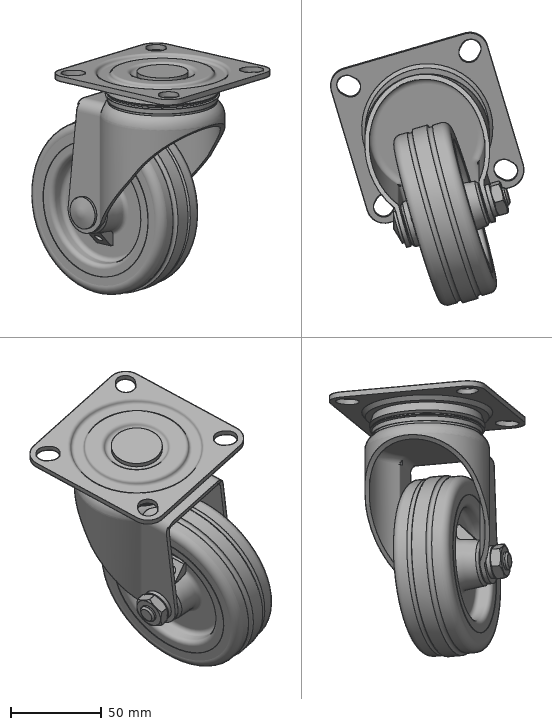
import cadquery as cq
import math


TOTAL_HEIGHT = 132.0
TYRE_RADIUS = 50.0
AXLE_OFFSET = 35.0
AXLE_X = -AXLE_OFFSET
AXLE_Z = TYRE_RADIUS

PLATE_SIDE = 90.0
PLATE_THICKNESS = 3.0
PLATE_CORNER_RADIUS = 10.0
BOLT_SPACING = 70.0
BOLT_SLOT_WIDTH = 11.1
BOLT_SLOT_LENGTH = 13.3
PRESS_DEPTH = 2.5
GROOVE_OUTER_RIM = 38.3
GROOVE_OUTER_FLOOR = 34.5
GROOVE_INNER_FLOOR = 30.8
GROOVE_INNER_RIM = 27.2
RECESS_RIM = 19.9
RECESS_FLOOR = 15.6
RIVET_RADIUS = 14.1
GROOVE_OUTER_MIDDLE = (GROOVE_OUTER_RIM + GROOVE_OUTER_FLOOR) / 2
GROOVE_INNER_MIDDLE = (GROOVE_INNER_RIM + GROOVE_INNER_FLOOR) / 2
RECESS_MIDDLE = (RECESS_RIM + RECESS_FLOOR) / 2
DISH_TOP_RADIUS = 36.3
DISH_BOTTOM_RADIUS = 34.3
RACE_TOP_RADIUS = 30.4
RACE_BOTTOM_RADIUS = 32.1
RACE_HEIGHT = 5.0
RACE_LIP_HEIGHT = 1.2
DISH_BOTTOM_Z = TOTAL_HEIGHT - PLATE_THICKNESS - PRESS_DEPTH
RACE_BOTTOM_Z = DISH_BOTTOM_Z - RACE_HEIGHT
SWIVEL_Z = RACE_BOTTOM_Z - RACE_LIP_HEIGHT

FORK_TOP_Z = 113.5
SHEET = 2.5
HEAD_RADIUS = 34.6
LEG_OUTER_Y = 25.6
LEG_INNER_Y = LEG_OUTER_Y - SHEET
FORK_EDGE_RADIUS = 6.5
LEG_END_RADIUS = 11.9
LEG_LEAN = math.radians(6.2)
CREASE_RADIUS = 2.0
TOP_FRONT_X = -41.0
CUT_SLOPE = math.radians(48.3)
CUT_BEND_X = 5.7
CUT_CURVE_X = 18.5
CUT_CURVE_Z = 93.0
CUT_END_Z = 106.9
NECK_RADIUS = 30.6
SEAL_RADIUS = 31.7
SEAL_TOP_DROP = 0.8
SEAL_TIP_DROP = 1.3
SEAL_BOTTOM_DROP = 1.8
NECK_BOTTOM_Z = 115.8
COLLAR_RADIUS = 30.2
SHOULDER_TOP_Z = 114.6
SHOULDER_ARC_RADIUS = 9.1

TYRE_HALF_WIDTH = 16.2
TYRE_BORE = 38.4
TYRE_STEP = 0.3
TREAD_BAND_HALF = 4.2
GROOVE_END = 7.3
SHOULDER_START = 12.3
GROOVE_RADIUS = 48.3
RIB_RADIUS = 49.1
TYRE_SIDE_RADIUS = 43.5
RIM_INNER_RADIUS = 31.5
WEB_HALF_WIDTH = 7.3
RIM_FILLET = 2.6
HUB_RADIUS = 12.8
HUB_ROOT_RADIUS = 14.1
HUB_HALF_LENGTH = 22.3
HUB_CHAMFER = 1.5
HUB_FILLET = 2.6
SLEEVE_RADIUS = 6.0
BOSS_WIDTH = 10.4
BOSS_REACH = 21.6
BOSS_EDGE_Y = 9.1
BOSS_TOP_RADIUS = 12.5
BOSS_HOLE_DIAMETER = 5.0
BOSS_HOLE_DEPTH = 3.3

AXLE_RADIUS = 5.0
FLANGE_RADIUS = 9.1
HEAD_FLANGE_THICKNESS = 1.6
HEAD_CONE_HEIGHT = 2.5
WASHER_THICKNESS = 2.4
NUT_THICKNESS = 6.2
NUT_ACROSS_FLATS = 17.0
NUT_CHAMFER = 0.8
AXLE_END_Y = 36.4
AXLE_END_CHAMFER = 1.2


def revolve_about_z(points):
    """Turn a (radius, z) outline about the swivel axis."""
    return cq.Workplane("XZ").polyline(points).close().revolve(360, (0, 0), (0, 1))


def axle_plane(y):
    """Workplane across the axle at the given Y, facing +Y."""
    return cq.Workplane(cq.Plane((AXLE_X, y, AXLE_Z), xDir=(1, 0, 0), normal=(0, 1, 0)))


def axle_section():
    """Workplane holding a wheel section: local x is the radius, local y runs along +Y."""
    return cq.Workplane(cq.Plane((AXLE_X, 0, AXLE_Z), xDir=(0, 0, 1), normal=(-1, 0, 0)))


def revolve_about_axle(outline):
    return outline.close().revolve(360, (0, 0), (0, 1))


def make_plate():
    top = TOTAL_HEIGHT
    floor = top - PRESS_DEPTH
    mid = top - PRESS_DEPTH / 2
    plate = (
        cq.Workplane("XY", origin=(0, 0, top - PLATE_THICKNESS))
        .rect(PLATE_SIDE, PLATE_SIDE)
        .extrude(PLATE_THICKNESS)
        .edges("|Z")
        .fillet(PLATE_CORNER_RADIUS)
    )
    half = BOLT_SPACING / 2
    for x_side in (-1, 1):
        for y_side in (-1, 1):
            slot = (
                cq.Workplane("XY", origin=(x_side * half, y_side * half, top - PLATE_THICKNESS))
                .transformed(rotate=(0, 0, 45 * x_side * y_side))
                .slot2D(BOLT_SLOT_LENGTH, BOLT_SLOT_WIDTH)
                .extrude(PLATE_THICKNESS)
            )
            plate = plate.cut(slot)
    opening = cq.Workplane("XY", origin=(0, 0, top)).circle(GROOVE_OUTER_RIM).extrude(-PLATE_THICKNESS)
    pressing = (
        cq.Workplane("XZ")
        .moveTo(0, top)
        .lineTo(RIVET_RADIUS, top)
        .lineTo(RIVET_RADIUS, floor)
        .lineTo(RECESS_FLOOR, floor)
        .tangentArcPoint((RECESS_MIDDLE, mid), relative=False)
        .tangentArcPoint((RECESS_RIM, top), relative=False)
        .lineTo(GROOVE_INNER_RIM, top)
        .tangentArcPoint((GROOVE_INNER_MIDDLE, mid), relative=False)
        .tangentArcPoint((GROOVE_INNER_FLOOR, floor), relative=False)
        .lineTo(GROOVE_OUTER_FLOOR, floor)
        .tangentArcPoint((GROOVE_OUTER_MIDDLE, mid), relative=False)
        .tangentArcPoint((GROOVE_OUTER_RIM, top), relative=False)
        .lineTo(GROOVE_OUTER_RIM, top - PLATE_THICKNESS)
        .lineTo(DISH_TOP_RADIUS, top - PLATE_THICKNESS)
        .lineTo(DISH_BOTTOM_RADIUS, DISH_BOTTOM_Z)
        .lineTo(RACE_TOP_RADIUS, DISH_BOTTOM_Z)
        .lineTo(RACE_BOTTOM_RADIUS, RACE_BOTTOM_Z)
        .lineTo(RACE_TOP_RADIUS, SWIVEL_Z)
        .lineTo(0, SWIVEL_Z)
        .close()
        .revolve(360, (0, 0), (0, 1))
    )
    return plate.cut(opening).union(pressing)


def fork_block(inset, bottom_z):
    """Round head with a straight leg block, all outer faces moved inwards by the inset."""
    top_z = FORK_TOP_Z - inset
    front_x = TOP_FRONT_X - 2 * LEG_END_RADIUS
    head = cq.Workplane("XY", origin=(0, 0, bottom_z)).circle(HEAD_RADIUS - inset).extrude(top_z - bottom_z)
    legs = (
        cq.Workplane("XY", origin=(front_x / 2, 0, bottom_z))
        .rect(-front_x, 2 * (LEG_OUTER_Y - inset))
        .extrude(top_z - bottom_z)
    )
    block = head.union(legs)
    crease_x = -math.sqrt((HEAD_RADIUS - inset) ** 2 - (LEG_OUTER_Y - inset) ** 2)
    block = block.edges(cq.selectors.BoxSelector(
        (crease_x - 1.3, -HEAD_RADIUS, bottom_z), (crease_x + 1.3, HEAD_RADIUS, top_z)
    )).edges("|Z").fillet(CREASE_RADIUS)
    return block.faces(">Z").edges("not(<X)").fillet(FORK_EDGE_RADIUS - inset)


def fork_side_outline():
    """Side outline of the fork, extruded across its whole width."""
    lean_x = LEG_END_RADIUS * math.cos(LEG_LEAN)
    lean_z = LEG_END_RADIUS * math.sin(LEG_LEAN)
    front_low = (AXLE_X - lean_x, AXLE_Z + lean_z)
    step_z = FORK_TOP_Z - SHEET
    front_high_x = front_low[0] + (step_z - front_low[1]) * math.tan(LEG_LEAN)
    rear_low = (
        AXLE_X + LEG_END_RADIUS * math.sin(CUT_SLOPE),
        AXLE_Z - LEG_END_RADIUS * math.cos(CUT_SLOPE),
    )
    bend = (CUT_BEND_X, rear_low[1] + (CUT_BEND_X - rear_low[0]) * math.tan(CUT_SLOPE))
    return (
        cq.Workplane("XZ", origin=(0, HEAD_RADIUS, 0))
        .moveTo(*rear_low)
        .lineTo(*bend)
        .threePointArc((CUT_CURVE_X, CUT_CURVE_Z), (HEAD_RADIUS, CUT_END_Z))
        .lineTo(HEAD_RADIUS, FORK_TOP_Z)
        .lineTo(TOP_FRONT_X, FORK_TOP_Z)
        .lineTo(TOP_FRONT_X, step_z)
        .lineTo(front_high_x, step_z)
        .lineTo(*front_low)
        .threePointArc((AXLE_X, AXLE_Z - LEG_END_RADIUS), rear_low)
        .close()
        .extrude(2 * HEAD_RADIUS)
    )


def fork_shoulder():
    """Rounded ring that raises the head's edge up to the neck."""
    inner_radius = HEAD_RADIUS - SHEET
    edge_z = FORK_TOP_Z - FORK_EDGE_RADIUS
    sheet_bottom_z = FORK_TOP_Z - SHEET
    ring = (
        cq.Workplane("XZ")
        .moveTo(COLLAR_RADIUS, SHOULDER_TOP_Z)
        .radiusArc((HEAD_RADIUS, edge_z), SHOULDER_ARC_RADIUS)
        .lineTo(inner_radius, edge_z)
        .lineTo(inner_radius, sheet_bottom_z)
        .lineTo(COLLAR_RADIUS, sheet_bottom_z)
        .close()
        .revolve(360, (0, 0), (0, 1))
    )
    crease_x = -math.sqrt(HEAD_RADIUS**2 - LEG_OUTER_Y**2)
    leg_space = cq.Workplane("XY", origin=(crease_x - HEAD_RADIUS, 0, 0)).rect(
        2 * HEAD_RADIUS, 2 * HEAD_RADIUS
    ).extrude(sheet_bottom_z)
    return ring.cut(leg_space)


def make_fork():
    bottom_z = AXLE_Z - 2 * LEG_END_RADIUS
    shell = fork_block(0, bottom_z).cut(fork_block(SHEET, bottom_z)).intersect(fork_side_outline())
    neck = revolve_about_z([
        (0, SWIVEL_Z),
        (NECK_RADIUS, SWIVEL_Z),
        (NECK_RADIUS, SWIVEL_Z - SEAL_TOP_DROP),
        (SEAL_RADIUS, SWIVEL_Z - SEAL_TIP_DROP),
        (NECK_RADIUS, SWIVEL_Z - SEAL_BOTTOM_DROP),
        (NECK_RADIUS, NECK_BOTTOM_Z),
        (COLLAR_RADIUS, NECK_BOTTOM_Z),
        (COLLAR_RADIUS, FORK_TOP_Z - SHEET),
        (0, FORK_TOP_Z - SHEET),
    ])
    bore = axle_plane(-HEAD_RADIUS).circle(AXLE_RADIUS).extrude(2 * HEAD_RADIUS)
    return shell.union(fork_shoulder()).union(neck).cut(bore)


def make_tyre():
    groove_y = (TREAD_BAND_HALF + GROOVE_END) / 2
    outline = axle_section().moveTo(TYRE_BORE, -TYRE_HALF_WIDTH).lineTo(TYRE_SIDE_RADIUS, -TYRE_HALF_WIDTH)
    corner_radius = TYRE_SIDE_RADIUS + 0.75 * (RIB_RADIUS - TYRE_SIDE_RADIUS)
    corner_y = SHOULDER_START + 0.7 * (TYRE_HALF_WIDTH - SHOULDER_START)
    outline = (
        outline.threePointArc((corner_radius, -corner_y), (RIB_RADIUS, -SHOULDER_START))
        .lineTo(RIB_RADIUS, -GROOVE_END)
        .threePointArc((GROOVE_RADIUS, -groove_y), (TYRE_RADIUS, -TREAD_BAND_HALF))
        .lineTo(TYRE_RADIUS, TREAD_BAND_HALF)
        .threePointArc((GROOVE_RADIUS, groove_y), (RIB_RADIUS, GROOVE_END))
        .lineTo(RIB_RADIUS, SHOULDER_START)
        .threePointArc((corner_radius, corner_y), (TYRE_SIDE_RADIUS, TYRE_HALF_WIDTH))
        .lineTo(TYRE_BORE, TYRE_HALF_WIDTH)
    )
    return revolve_about_axle(outline)


def grease_boss(side):
    """Wedge on the hub at one end; side -1 is below the axle at -Y, side 1 above it at +Y."""
    top_y = BOSS_EDGE_Y + BOSS_REACH - BOSS_TOP_RADIUS
    wedge = (
        cq.Workplane("YZ", origin=(AXLE_X - BOSS_WIDTH / 2, 0, AXLE_Z))
        .polyline([
            (0, side * BOSS_TOP_RADIUS),
            (side * top_y, side * BOSS_TOP_RADIUS),
            (side * BOSS_EDGE_Y, side * BOSS_REACH),
            (0, side * BOSS_REACH),
        ])
        .close()
        .extrude(BOSS_WIDTH)
    )
    middle_y = side * (BOSS_EDGE_Y + top_y) / 2
    middle_z = AXLE_Z + side * (BOSS_REACH + BOSS_TOP_RADIUS) / 2
    slope = cq.Plane((AXLE_X, middle_y, middle_z), xDir=(1, 0, 0), normal=(0, side, side))
    hole = cq.Workplane(slope).circle(BOSS_HOLE_DIAMETER / 2).extrude(-BOSS_HOLE_DEPTH)
    return wedge, hole


def core_half():
    """The +Y half of the core, from its middle plane to the end of the hub sleeve."""
    rim_y = TYRE_HALF_WIDTH - TYRE_STEP
    turn = math.sqrt(0.5)
    hub_centre = (HUB_ROOT_RADIUS + HUB_FILLET, WEB_HALF_WIDTH + HUB_FILLET)
    web_centre = (RIM_INNER_RADIUS - RIM_FILLET, WEB_HALF_WIDTH + RIM_FILLET)
    rim_centre = (RIM_INNER_RADIUS + RIM_FILLET, rim_y - RIM_FILLET)
    outline = (
        axle_section()
        .moveTo(AXLE_RADIUS, 0)
        .lineTo(AXLE_RADIUS, LEG_INNER_Y)
        .lineTo(SLEEVE_RADIUS, LEG_INNER_Y)
        .lineTo(SLEEVE_RADIUS, HUB_HALF_LENGTH)
        .lineTo(HUB_RADIUS - HUB_CHAMFER, HUB_HALF_LENGTH)
        .lineTo(HUB_RADIUS, HUB_HALF_LENGTH - HUB_CHAMFER)
        .lineTo(HUB_ROOT_RADIUS, hub_centre[1])
        .threePointArc(
            (hub_centre[0] - HUB_FILLET * turn, hub_centre[1] - HUB_FILLET * turn),
            (hub_centre[0], WEB_HALF_WIDTH),
        )
        .lineTo(web_centre[0], WEB_HALF_WIDTH)
        .threePointArc(
            (web_centre[0] + RIM_FILLET * turn, web_centre[1] - RIM_FILLET * turn),
            (RIM_INNER_RADIUS, web_centre[1]),
        )
        .lineTo(RIM_INNER_RADIUS, rim_centre[1])
        .threePointArc(
            (rim_centre[0] - RIM_FILLET * turn, rim_centre[1] + RIM_FILLET * turn),
            (rim_centre[0], rim_y),
        )
        .lineTo(TYRE_BORE, rim_y)
        .lineTo(TYRE_BORE, 0)
    )
    return revolve_about_axle(outline)


def make_core():
    half = core_half()
    core = half.union(half.mirror("XZ"))
    bore = axle_plane(-LEG_INNER_Y).circle(AXLE_RADIUS).extrude(2 * LEG_INNER_Y)
    for side in (-1, 1):
        wedge, hole = grease_boss(side)
        core = core.union(wedge).cut(hole)
    return core.cut(bore)


def make_axle():
    """Bolt with its head at -Y, and washer and nut at +Y."""
    head_y = -LEG_OUTER_Y - HEAD_FLANGE_THICKNESS
    nut_y = LEG_OUTER_Y + WASHER_THICKNESS
    nut_end_y = nut_y + NUT_THICKNESS
    nut_corner_radius = NUT_ACROSS_FLATS / math.sqrt(3)
    bolt = revolve_about_axle(
        axle_section()
        .moveTo(0, head_y - HEAD_CONE_HEIGHT)
        .lineTo(FLANGE_RADIUS, head_y)
        .lineTo(FLANGE_RADIUS, -LEG_OUTER_Y)
        .lineTo(AXLE_RADIUS, -LEG_OUTER_Y)
        .lineTo(AXLE_RADIUS, LEG_OUTER_Y)
        .lineTo(FLANGE_RADIUS, LEG_OUTER_Y)
        .lineTo(FLANGE_RADIUS, nut_y)
        .lineTo(AXLE_RADIUS, nut_y)
        .lineTo(AXLE_RADIUS, AXLE_END_Y - AXLE_END_CHAMFER)
        .lineTo(AXLE_RADIUS - AXLE_END_CHAMFER, AXLE_END_Y)
        .lineTo(0, AXLE_END_Y)
    )
    hexagon = (
        axle_plane(nut_y)
        .transformed(rotate=(0, 0, 30))
        .polygon(6, 2 * nut_corner_radius)
        .extrude(NUT_THICKNESS)
    )
    chamfer_start = nut_corner_radius - 2 * NUT_CHAMFER
    corner_trim = revolve_about_axle(
        axle_section()
        .moveTo(0, nut_y)
        .lineTo(chamfer_start, nut_y)
        .lineTo(nut_corner_radius, nut_y + NUT_CHAMFER)
        .lineTo(nut_corner_radius, nut_end_y - NUT_CHAMFER)
        .lineTo(chamfer_start, nut_end_y)
        .lineTo(0, nut_end_y)
    )
    return bolt.union(hexagon.intersect(corner_trim))


plate = make_plate()
fork = make_fork()
tyre = make_tyre()
core = make_core()
axle = make_axle()
result = cq.Compound.makeCompound([plate.val(), fork.val(), tyre.val(), core.val(), axle.val()])